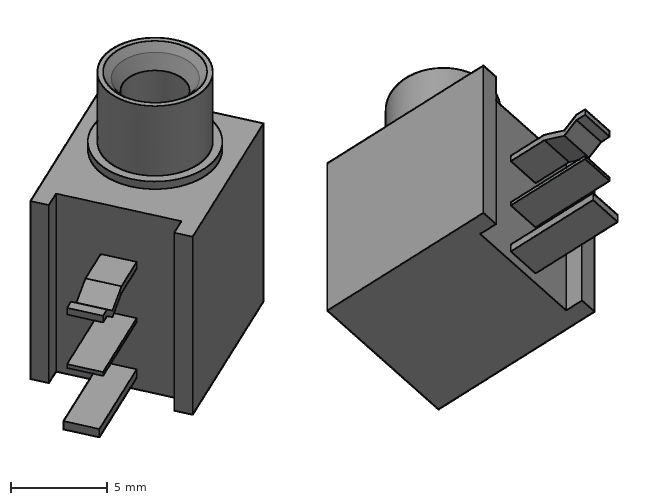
import cadquery as cq

HOUSING_WIDTH = 9.0
HOUSING_DEPTH = 10.6
HOUSING_HEIGHT = 11.5
EAR_WIDTH = 1.02
EAR_LENGTH = 1.07
RECESS_WIDTH = HOUSING_WIDTH - 2 * EAR_WIDTH
RECESS_WALL_Y = -(HOUSING_DEPTH - EAR_LENGTH)

TOTAL_HEIGHT = 16.5
SLEEVE_Y = -4.1
FLANGE_RADIUS = 3.5
FLANGE_THICKNESS = 0.5
BARREL_RADIUS = 3.0
MOUTH_RADIUS = 2.7
THROAT_RADIUS = 2.3
BORE_RADIUS = 1.8
MOUTH_DEPTH = 0.41
THROAT_DEPTH = 0.82
SLEEVE_LENGTH = TOTAL_HEIGHT - HOUSING_HEIGHT

PIN_WIDTH = 2.0
LONG_PIN_END_Y = -15.1
SHORT_PIN_END_Y = -14.55
LOWER_PIN_Z = 0.76
LOWER_PIN_THICKNESS = 0.55
MIDDLE_PIN_Z = 4.35
MIDDLE_PIN_THICKNESS = 0.25
UPPER_PIN_Z = 7.8
UPPER_PIN_THICKNESS = 0.43
KINK_START_Y = -11.8
KINK_LOW_Y = -13.15
KINK_END_Y = -13.98
KINK_DROP = 0.63


def make_housing():
    block = cq.Workplane("XY").box(
        HOUSING_WIDTH, HOUSING_DEPTH, HOUSING_HEIGHT, centered=(True, False, False)
    )
    recess = cq.Workplane("XY").box(
        RECESS_WIDTH, EAR_LENGTH, HOUSING_HEIGHT, centered=(True, False, False)
    )
    return block.translate((0, -HOUSING_DEPTH, 0)).cut(recess.translate((0, -HOUSING_DEPTH, 0)))


def make_sleeve():
    """Revolve the wall section, drawn as (radius, height above the housing)."""
    throat_bottom = SLEEVE_LENGTH - MOUTH_DEPTH - THROAT_DEPTH
    section = [
        (BORE_RADIUS, 0),
        (FLANGE_RADIUS, 0),
        (FLANGE_RADIUS, FLANGE_THICKNESS),
        (BARREL_RADIUS, FLANGE_THICKNESS),
        (BARREL_RADIUS, SLEEVE_LENGTH),
        (MOUTH_RADIUS, SLEEVE_LENGTH),
        (THROAT_RADIUS, SLEEVE_LENGTH - MOUTH_DEPTH),
        (BORE_RADIUS, throat_bottom),
    ]
    sleeve = cq.Workplane("XZ").polyline(section).close().revolve(360, (0, 0), (0, 1))
    return sleeve.translate((0, SLEEVE_Y, HOUSING_HEIGHT))


def make_pin(underside, thickness):
    """Thicken an underside line of (y, z) points upward and extrude it across X."""
    topside = [(y, z + thickness) for y, z in reversed(underside)]
    outline = cq.Workplane("YZ").polyline(underside + topside).close()
    return outline.extrude(PIN_WIDTH / 2, both=True)


def make_straight_pin(end_y, bottom_z, thickness):
    return make_pin([(RECESS_WALL_Y, bottom_z), (end_y, bottom_z)], thickness)


def make_kinked_pin():
    underside = [
        (RECESS_WALL_Y, UPPER_PIN_Z),
        (KINK_START_Y, UPPER_PIN_Z),
        (KINK_LOW_Y, UPPER_PIN_Z - KINK_DROP),
        (KINK_END_Y, UPPER_PIN_Z),
        (SHORT_PIN_END_Y, UPPER_PIN_Z),
    ]
    return make_pin(underside, UPPER_PIN_THICKNESS)


housing = make_housing()
sleeve = make_sleeve()
lower_pin = make_straight_pin(LONG_PIN_END_Y, LOWER_PIN_Z, LOWER_PIN_THICKNESS)
middle_pin = make_straight_pin(SHORT_PIN_END_Y, MIDDLE_PIN_Z, MIDDLE_PIN_THICKNESS)
kinked_pin = make_kinked_pin()

result = cq.Compound.makeCompound(
    [housing.val(), sleeve.val(), lower_pin.val(), middle_pin.val(), kinked_pin.val()]
)